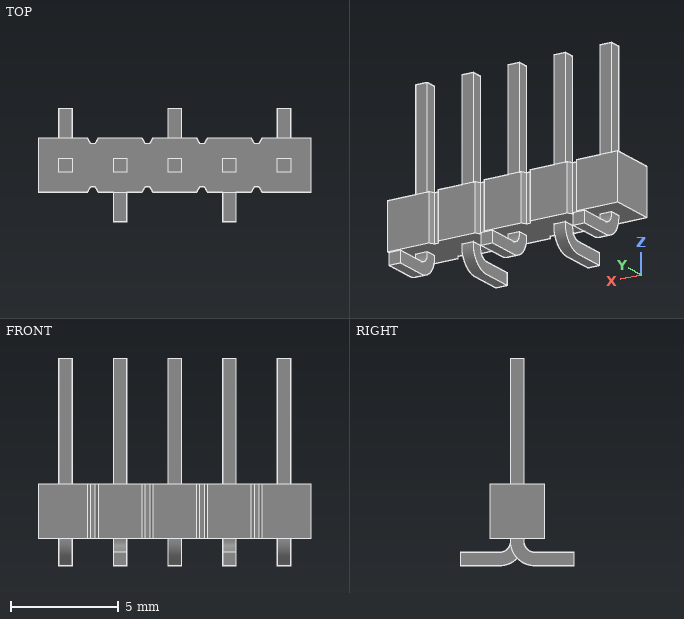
import cadquery as cq

PIN_COUNT = 5
PITCH = 2.54
PIN_SIDE = 0.64
TOTAL_HEIGHT = 9.65
FOOT_REACH = 2.64
BEND_RADIUS = 0.51

HOUSING_LENGTH = PIN_COUNT * PITCH
HOUSING_DEPTH = PITCH
HOUSING_HEIGHT = PITCH
HOUSING_BOTTOM = 1.27

GROOVE_MOUTH = 0.51
GROOVE_FLOOR = 0.22
GROOVE_DEPTH = 0.25

PIN_PLACES = [(i - (PIN_COUNT - 1) / 2) * PITCH for i in range(PIN_COUNT)]
REAR_PLACES = PIN_PLACES[0::2]
FRONT_PLACES = PIN_PLACES[1::2]
GROOVE_PLACES = [x + PITCH / 2 for x in PIN_PLACES[:-1]]


def make_pin(x, foot_direction):
    """Square wire bent into an L, its foot toward +Y (1) or -Y (-1)."""
    half = PIN_SIDE / 2
    outer_radius = BEND_RADIUS + PIN_SIDE
    profile = (
        cq.Workplane("YZ", origin=(x - half, 0, 0))
        .moveTo(-half, TOTAL_HEIGHT)
        .lineTo(-half, outer_radius)
        .radiusArc((-half + outer_radius, 0), -outer_radius)
        .lineTo(FOOT_REACH, 0)
        .lineTo(FOOT_REACH, PIN_SIDE)
        .lineTo(half + BEND_RADIUS, PIN_SIDE)
        .radiusArc((half, outer_radius), BEND_RADIUS)
        .lineTo(half, TOTAL_HEIGHT)
        .close()
    )
    pin = profile.extrude(PIN_SIDE)
    if foot_direction < 0:
        pin = pin.mirror("XZ")
    return pin


def make_groove(x, side):
    """Upright trapezoid that cuts the +Y (1) or -Y (-1) face of the housing."""
    face = side * HOUSING_DEPTH / 2
    floor = face - side * GROOVE_DEPTH
    return (
        cq.Workplane("XY", origin=(x, 0, HOUSING_BOTTOM))
        .polyline([
            (-GROOVE_MOUTH / 2, face),
            (-GROOVE_FLOOR / 2, floor),
            (GROOVE_FLOOR / 2, floor),
            (GROOVE_MOUTH / 2, face),
        ])
        .close()
        .extrude(HOUSING_HEIGHT)
    )


def make_housing():
    """Grooved bar that carries the whole row of pins."""
    bar = (
        cq.Workplane("XY", origin=(0, 0, HOUSING_BOTTOM))
        .rect(HOUSING_LENGTH, HOUSING_DEPTH)
        .extrude(HOUSING_HEIGHT)
    )
    for x in GROOVE_PLACES:
        for side in (1, -1):
            bar = bar.cut(make_groove(x, side))
    return bar


front_pins = [make_pin(x, -1) for x in FRONT_PLACES]

housing = make_housing()
for x in REAR_PLACES:
    housing = housing.union(make_pin(x, 1))
for front_pin in front_pins:
    housing = housing.cut(front_pin)

result = cq.Compound.makeCompound([housing.solids().val(), *[pin.val() for pin in front_pins]])